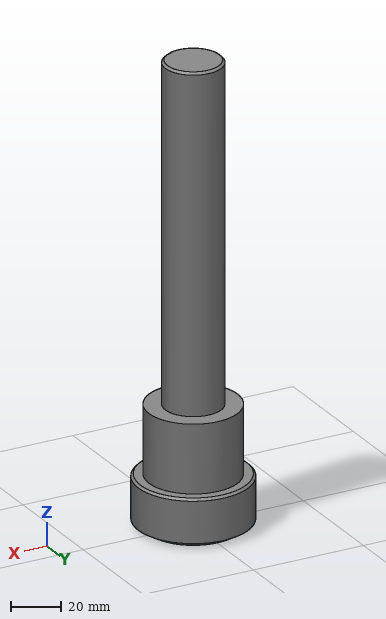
import cadquery as cq

total_length = 203.0
head_diameter = 50.0
collar_diameter = 40.2
shaft_diameter = 25.4

head_length = 22.5
collar_length = 30.5

head_bottom_chamfer_height = 3.0
head_bottom_chamfer_width = 5.0
head_top_chamfer = 1.0
shaft_tip_chamfer = 1.0

head_radius = head_diameter / 2
collar_radius = collar_diameter / 2
shaft_radius = shaft_diameter / 2
collar_top = head_length + collar_length

half_section = (
    cq.Workplane("XZ")
    .moveTo(0, 0)
    .lineTo(head_radius - head_bottom_chamfer_width, 0)
    .lineTo(head_radius, head_bottom_chamfer_height)
    .lineTo(head_radius, head_length - head_top_chamfer)
    .lineTo(head_radius - head_top_chamfer, head_length)
    .lineTo(collar_radius, head_length)
    .lineTo(collar_radius, collar_top)
    .lineTo(shaft_radius, collar_top)
    .lineTo(shaft_radius, total_length - shaft_tip_chamfer)
    .lineTo(shaft_radius - shaft_tip_chamfer, total_length)
    .lineTo(0, total_length)
    .close()
)

result = half_section.revolve(360, (0, 0, 0), (0, 1, 0))